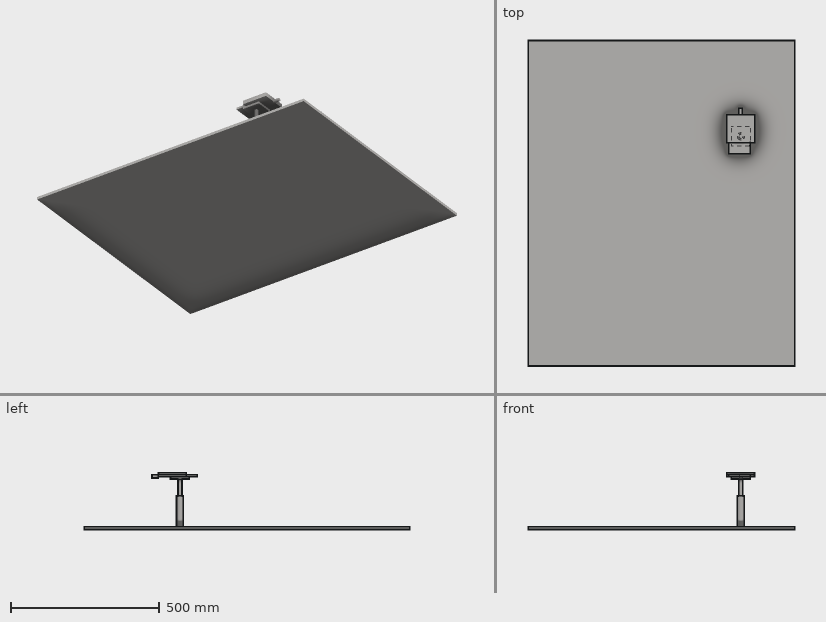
import cadquery as cq

FLOOR_X = 900.0
FLOOR_Y = 1100.0
FLOOR_T = 10.0

POST_X = 267.0
POST_Y = 227.0
COLUMN_D = 24.0
COLUMN_H = 105.0
ROD_D = 14.0

TOTAL_H = 192.0
TOP_T = 7.0
CARRIER_T = 8.0
BRACKET_T = 8.0
HEAD_SIDE = 95.0
HEAD_Y = 252.0
BRACKET_SIDE = 65.0

TRAY_X = 73.0
TRAY_LENGTH = 37.0
TRAY_OFFSET_X = -4.0

PIN_D = 12.0
PIN_LENGTH = 22.0

column_top = FLOOR_T + COLUMN_H
top_base = TOTAL_H - TOP_T
carrier_base = top_base - CARRIER_T
bracket_base = carrier_base - BRACKET_T
head_front = HEAD_Y - HEAD_SIDE / 2
head_back = HEAD_Y + HEAD_SIDE / 2


def plate(size_x, size_y, thickness, x, y, base):
    """Rectangular plate centred at (x, y) with its underside at the given level."""
    return cq.Workplane("XY", origin=(x, y, base)).rect(size_x, size_y).extrude(thickness)


def upright(diameter, base, top):
    """Cylinder on the post axis between two levels."""
    return cq.Workplane("XY", origin=(POST_X, POST_Y, base)).circle(diameter / 2).extrude(top - base)


def rear_pin():
    """Cylinder pointing to +Y from the back of the carrier, its top level with the carrier top."""
    axis_z = top_base - PIN_D / 2
    plane = cq.Plane(origin=(POST_X, head_back, axis_z), xDir=(1, 0, 0), normal=(0, 1, 0))
    return cq.Workplane(plane).circle(PIN_D / 2).extrude(PIN_LENGTH)


floor = plate(FLOOR_X, FLOOR_Y, FLOOR_T, 0, 0, 0)
column = upright(COLUMN_D, FLOOR_T, column_top)
rod = upright(ROD_D, column_top, bracket_base)
bracket = plate(BRACKET_SIDE, BRACKET_SIDE, BRACKET_T, POST_X, POST_Y, bracket_base)
carrier = plate(HEAD_SIDE, HEAD_SIDE, CARRIER_T, POST_X, HEAD_Y, carrier_base)
top_plate = plate(HEAD_SIDE, HEAD_SIDE, TOP_T, POST_X, HEAD_Y, top_base)
tray = plate(
    TRAY_X, TRAY_LENGTH, CARRIER_T, POST_X + TRAY_OFFSET_X, head_front - TRAY_LENGTH / 2, carrier_base
)
pin = rear_pin()

bodies = [floor, column, rod, bracket, carrier, top_plate, tray, pin]
result = cq.Compound.makeCompound([body.val() for body in bodies])